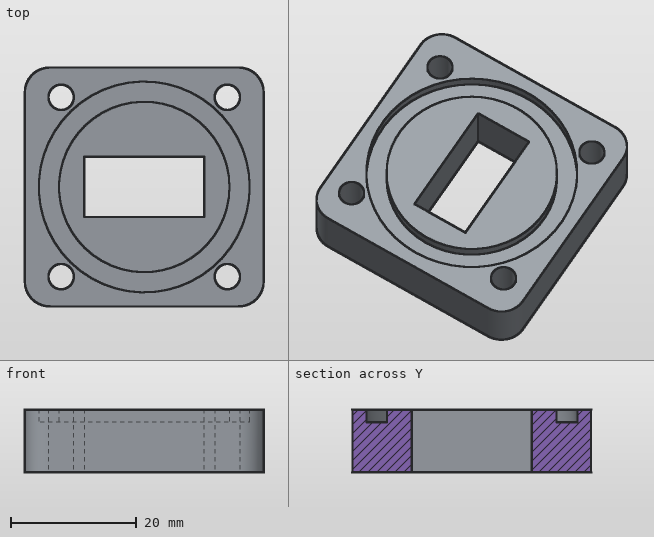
import cadquery as cq

side = 38.0
thickness = 10.0
corner_radius = 4.0

hole_diameter = 4.0
hole_spacing_x = 26.4
hole_spacing_y = 28.5

groove_outer_diameter = 33.5
groove_inner_diameter = 27.1
groove_depth = 2.0

opening_x = 19.05
opening_y = 9.55


def make_plate():
    plate = cq.Workplane("XY").rect(side, side).extrude(thickness)
    return plate.edges("|Z").fillet(corner_radius)


def make_mounting_holes():
    return (
        cq.Workplane("XY")
        .rarray(hole_spacing_x, hole_spacing_y, 2, 2)
        .circle(hole_diameter / 2)
        .extrude(thickness)
    )


def make_groove():
    return (
        cq.Workplane("XY", origin=(0, 0, thickness - groove_depth))
        .circle(groove_outer_diameter / 2)
        .circle(groove_inner_diameter / 2)
        .extrude(groove_depth)
    )


def make_waveguide_opening():
    return cq.Workplane("XY").rect(opening_x, opening_y).extrude(thickness)


result = (
    make_plate()
    .cut(make_mounting_holes())
    .cut(make_groove())
    .cut(make_waveguide_opening())
)